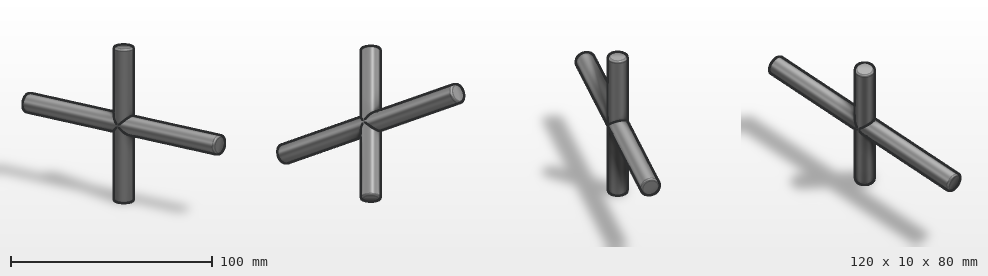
import cadquery as cq

bar_length = 120.0
post_length = 80.0
rod_diameter = 10.0
end_rounding = 1.0


def rounded_rod(plane, length):
    """Round rod centred on the origin along the plane normal, with both end edges rounded."""
    rod = cq.Workplane(plane).workplane(offset=-length / 2).circle(rod_diameter / 2).extrude(length)
    return rod.edges("%CIRCLE").fillet(end_rounding)


bar = rounded_rod("YZ", bar_length)
post = rounded_rod("XY", post_length)

result = bar.union(post)